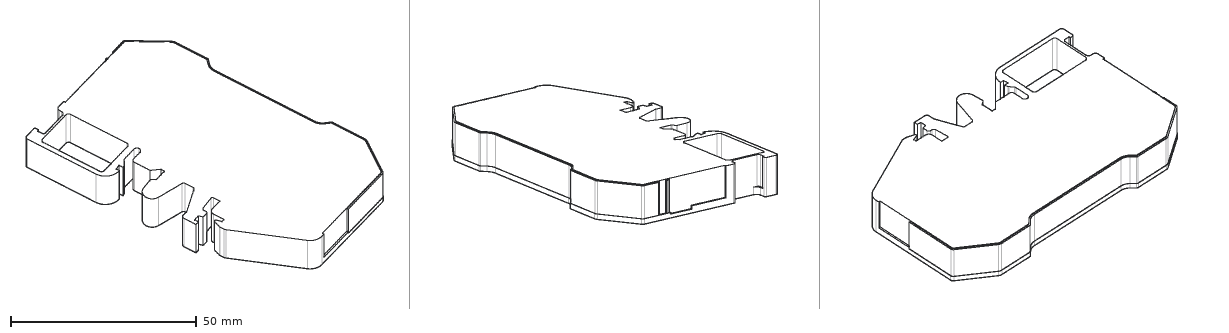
import cadquery as cq
import math

LENGTH = 86.6
HEIGHT = 52.7
THICKNESS = 11.2
MARGIN = 1.7

SIDE_LEFT = 0.8
SHOULDER_Y = 45.2
SHOULDER_LEFT = 12.0
SHOULDER_RIGHT = 75.7
CREST_WIDTH = 11.5
DIP_DEPTH = 2.4
DIP_LEFT = SHOULDER_LEFT + CREST_WIDTH
DIP_RIGHT = SHOULDER_RIGHT - CREST_WIDTH
DIP_FLOOR = HEIGHT - DIP_DEPTH
SHOULDER_ROUND = 0.95
CREST_ROUND = 1.7
DIP_EDGE_ROUND = 0.7
DIP_ROUND = 3.5

RIM_BOTTOM = 17.1
BASE_FLANGE = 1.6
LIP_INSET = 0.1
LIP_TOP = THICKNESS - 0.3
COVER_INSET = 0.5

SHALLOW_FLOOR = 2.1
DEEP_FLOOR = 1.1
FLOOR_STEP_Y = 28.7
RECESS_TOP = 35.85
RECESS_TAPER = 1.0
NOTCH_BOTTOM = 37.2
NOTCH_TOP = 39.3
NOTCH_TAPER = 0.8

HOUSING_BOTTOM = 13.7
SLOT_LEFT = 26.5
SLOT_RIGHT = 28.5
SLOT_TOP = 14.5
SLOT_ROUND = 0.495 * (SLOT_RIGHT - SLOT_LEFT)
LEDGE_Y = 9.5
VALLEY_TOP = 11.0
HOOK_RIGHT = 56.3
HOOK_BOTTOM = 0.2
HOOK_NECK = 55.0
JAW_ROOF = 6.1
FLANK_BOTTOM = 3.1

LEG_TIP_Y = 0.7
LEG_TIP_LEFT = 37.05
LEG_TIP_RIGHT = 41.65
LEG_NOTCH = (36.6, 6.8)
VALLEY_LEFT = 44.6
left_tip_angle = math.atan2(LEG_NOTCH[1] - LEG_TIP_Y, LEG_NOTCH[0] - LEG_TIP_LEFT)
right_tip_angle = math.pi - math.atan2(VALLEY_TOP - LEG_TIP_Y, VALLEY_LEFT - LEG_TIP_RIGHT)
LEG_ROUND = (LEG_TIP_RIGHT - LEG_TIP_LEFT) / (
    1 / math.tan(left_tip_angle / 2) + 1 / math.tan(right_tip_angle / 2)
)

ARM_LEFT = 3.5
ARM_RIGHT = 27.9
ARM_ROUND = 4.5
FOOT_TOP = 4.6
GROOVE_LEFT = 1.3
GROOVE_FLOOR = FOOT_TOP - 0.5
GUSSET_ROUND = 1.3
GUSSET_HEIGHT = 2.2
WINDOW_LEFT = 4.15
WINDOW_RIGHT = 24.5
WINDOW_BOTTOM = 1.5
WINDOW_TOP = 14.2
WINDOW_ROUND = 0.9

CROWN = [
    (SIDE_LEFT, SHOULDER_Y, SHOULDER_ROUND),
    (SHOULDER_LEFT, HEIGHT, CREST_ROUND),
    (DIP_LEFT, HEIGHT, DIP_EDGE_ROUND),
    (DIP_LEFT + DIP_DEPTH, DIP_FLOOR, DIP_ROUND),
    (DIP_RIGHT - DIP_DEPTH, DIP_FLOOR, DIP_ROUND),
    (DIP_RIGHT, HEIGHT, DIP_EDGE_ROUND),
    (SHOULDER_RIGHT, HEIGHT, CREST_ROUND),
    (LENGTH, SHOULDER_Y, SHOULDER_ROUND),
]

RIGHT_FLANK = [
    (LENGTH, HOUSING_BOTTOM, 3.9),
    (63.7, FLANK_BOTTOM, 1.3),
    (62.1, FLANK_BOTTOM, 0.4),
    (59.6, 4.0, 0.3),
    (59.6, 4.6, 0.3),
    (61.4, 5.1),
    (61.4, JAW_ROOF),
]

RIGHT_HOOK = [
    (56.5, JAW_ROOF, 1.4),
    (56.5, VALLEY_TOP),
    (53.9, VALLEY_TOP, 0.4),
    (54.4, 5.7, 0.8),
    (HOOK_RIGHT, 5.7, 0.6),
    (HOOK_RIGHT, 3.55),
    (HOOK_NECK, 3.2),
    (HOOK_NECK, 1.4),
    (HOOK_RIGHT, 1.4),
    (HOOK_RIGHT, HOOK_BOTTOM),
    (51.4, HOOK_BOTTOM, 0.9),
    (51.4, 2.9, 0.7),
]

MIDDLE_LEG = [
    (48.1, VALLEY_TOP, 0.6),
    (VALLEY_LEFT, VALLEY_TOP, 0.7),
    (LEG_TIP_RIGHT, LEG_TIP_Y, LEG_ROUND),
    (LEG_TIP_LEFT, LEG_TIP_Y, LEG_ROUND),
    (*LEG_NOTCH, 0.3),
    (37.9, 7.7, 0.3),
    (37.9, 11.5),
    (36.7, 11.5),
    (34.6, LEDGE_Y),
]

ARM_SLOT = [
    (SLOT_RIGHT, LEDGE_Y, 0.95),
    (SLOT_RIGHT, SLOT_TOP, SLOT_ROUND),
    (SLOT_LEFT, SLOT_TOP, SLOT_ROUND),
    (SLOT_LEFT, 8.8, 0.7),
    (27.6, 7.45, 0.7),
    (28.05, 6.2),
    (26.6, 6.2),
    (26.8, 4.7),
    (ARM_RIGHT, 4.7),
]

CLIP_FOOT = [
    (ARM_RIGHT, 0, ARM_ROUND),
    (0, 0, 0.9),
    (0, FOOT_TOP, 0.4),
    (GROOVE_LEFT, FOOT_TOP),
    (GROOVE_LEFT, GROOVE_FLOOR),
    (ARM_LEFT, GROOVE_FLOOR, 0.6),
    (ARM_LEFT, HOUSING_BOTTOM, 1.0),
    (SIDE_LEFT, HOUSING_BOTTOM, 0.95),
]

OUTLINE = CROWN + RIGHT_FLANK + RIGHT_HOOK + MIDDLE_LEG + ARM_SLOT + CLIP_FOOT


def corner_arc(before, corner, after):
    """Start, middle and end of a corner's rounding; a sharp corner has no middle."""
    x, y = corner[:2]
    if len(corner) == 2:
        return (x, y), None, (x, y)
    radius = corner[2]
    toward_before = math.atan2(before[1] - y, before[0] - x)
    toward_after = math.atan2(after[1] - y, after[0] - x)
    opening = math.remainder(toward_after - toward_before, 2 * math.pi)
    half = abs(opening) / 2
    reach = radius / math.tan(half)

    def at(angle, distance):
        return x + distance * math.cos(angle), y + distance * math.sin(angle)

    middle = at(toward_before + opening / 2, radius / math.sin(half) - radius)
    return at(toward_before, reach), middle, at(toward_after, reach)


def rounded_outline(corners, z=0):
    """Closed outline at height z through corners given as (x, y) or (x, y, radius)."""
    following = corners[1:] + corners[:1]
    arcs = [corner_arc(corners[i - 1], corners[i], following[i]) for i in range(len(corners))]
    here = arcs[0][2]
    path = cq.Workplane("XY", origin=(0, 0, z)).moveTo(*here)
    shortest_line = 8.66e-07
    for start, middle, end in arcs[1:] + arcs[:1]:
        if math.dist(here, start) > shortest_line:
            path = path.lineTo(*start)
        if middle:
            path = path.threePointArc(middle, end)
        here = end
    return path.close()


def block(x0, x1, y0, y1, z0, z1):
    """Box given by its limits along each axis."""
    return cq.Workplane("XY").box(x1 - x0, y1 - y0, z1 - z0, centered=False).translate((x0, y0, z0))


def rim_cut(inset, y0, z0, z1):
    """Ring around the housing, above y0, that leaves its walls set in by inset."""
    below_rim = RIM_BOTTOM - MARGIN
    housing = rounded_outline(CROWN + [(LENGTH, below_rim), (SIDE_LEFT, below_rim)], z0)
    kept = housing.offset2D(-inset).extrude(z1 - z0)
    return block(-MARGIN, LENGTH + MARGIN, y0, HEIGHT + MARGIN, z0, z1).cut(kept)


def left_recess(y0, y1, floor, taper=0):
    """Recess in the left side whose upper end slopes out over the length taper."""
    inner = SIDE_LEFT + COVER_INSET
    corners = [(0, y0), (inner, y0), (inner, y1), (SIDE_LEFT, y1 + taper), (0, y1 + taper)]
    return rounded_outline(corners, floor).extrude(THICKNESS - floor)


def right_recess(y0, y1, floor):
    """Plain recess in the right side."""
    return block(LENGTH - COVER_INSET, LENGTH + MARGIN, y0, y1, floor, THICKNESS)


def window():
    """Rounded rectangular opening through the clip arm."""
    corners = [
        (WINDOW_LEFT, WINDOW_BOTTOM, WINDOW_ROUND),
        (WINDOW_RIGHT, WINDOW_BOTTOM, WINDOW_ROUND),
        (WINDOW_RIGHT, WINDOW_TOP, WINDOW_ROUND),
        (WINDOW_LEFT, WINDOW_TOP, WINDOW_ROUND),
    ]
    return rounded_outline(corners).extrude(THICKNESS)


def gusset():
    """Low rounded fill of the groove between clip foot and clip arm."""
    inside_arm = (ARM_LEFT + WINDOW_LEFT) / 2
    top = FOOT_TOP + GUSSET_ROUND
    corners = [
        (GROOVE_LEFT, GROOVE_FLOOR),
        (inside_arm, GROOVE_FLOOR),
        (inside_arm, top),
        (ARM_LEFT, top),
        (ARM_LEFT, FOOT_TOP, GUSSET_ROUND),
        (GROOVE_LEFT, FOOT_TOP),
    ]
    return rounded_outline(corners).extrude(GUSSET_HEIGHT)


body = rounded_outline(OUTLINE).extrude(THICKNESS).union(gusset()).cut(window())

body = body.cut(rim_cut(COVER_INSET, RIM_BOTTOM, LIP_TOP, THICKNESS))
body = body.cut(rim_cut(LIP_INSET, FLOOR_STEP_Y, BASE_FLANGE, THICKNESS))

body = body.cut(left_recess(RIM_BOTTOM, FLOOR_STEP_Y, SHALLOW_FLOOR))
body = body.cut(left_recess(FLOOR_STEP_Y, RECESS_TOP, DEEP_FLOOR))
body = body.cut(left_recess(FLOOR_STEP_Y, RECESS_TOP, BASE_FLANGE, RECESS_TAPER))
body = body.cut(left_recess(NOTCH_BOTTOM, NOTCH_TOP, BASE_FLANGE, NOTCH_TAPER))

result = body.cut(right_recess(RIM_BOTTOM, FLOOR_STEP_Y, SHALLOW_FLOOR))